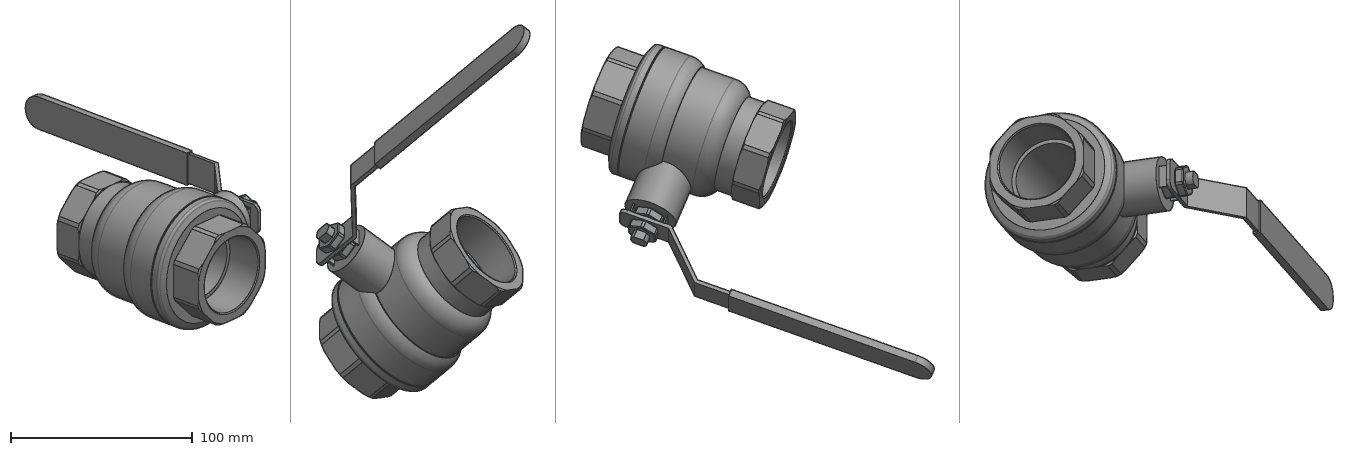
import cadquery as cq
import math


INLET_X = -53.0
OUTLET_X = 52.5
WRENCH_SIDES = 8
WRENCH_FLATS = 54.5
WRENCH_CORNER_R = 29.0
WRENCH_LENGTH = 16.5
END_CHAMFER = 1.2
END_CHAMFER_LENGTH = 0.7
NECK_R = WRENCH_FLATS / 2
BARREL_R = 34.0
FLANGE_R = 37.73
NECK_END_X = -26.5
BARREL_START_X = -16.3
FLANGE_FACE_X = 3.3
FLANGE_START_X = 11.4
FLANGE_ROUND_X = 30.6
FLANGE_CONE_X = 32.3
FLANGE_CONE_R = 36.7
FLANGE_END_X = 34.0
FLANGE_END_R = 33.2
FLANGE_STEP = 0.7
GROOVE_START_X = 26.2
GROOVE_WIDTH = 0.7
GROOVE_DEPTH = 0.2
BORE_R = 19.7
SOCKET_R = 22.0
SOCKET_DEPTH = 21.5
SOCKET_CHAMFER = 0.7
BOSS_R = 15.0
BOSS_TOP = 56.5

STEM_R = 4.9
STEM_FLAT_WIDTH = 8.0
STEM_TOP = 74.3
STEM_SEAT_DEPTH = 9.3
NUT_SIDES = 6
NUT_FLATS = 16.0
NUT_CORNER_R = 8.8
NUT_HEIGHT = 5.0
NUT_CHAMFER = 0.58
STOP_THICKNESS = 1.0
STOP_LENGTH = 20.5
STOP_WIDTH = 12.5

LEVER_THICKNESS = 2.2
LEVER_WIDTH = 17.9
LEVER_END_X = BOSS_R
LEVER_END_ROUND = 4.2
BEND_ANGLE = math.pi / 4
LEVER_BEND_X = -39.7
GRIP_MID_Y = 89.0
GRIP_TIP_X = -179.7
GRIP_END_X = -59.7
GRIP_WIDTH = 19.5
GRIP_THICKNESS = 4.5

STOP_BOTTOM = BOSS_TOP + NUT_HEIGHT
LEVER_BOTTOM = STOP_BOTTOM + STOP_THICKNESS
LEVER_TOP = LEVER_BOTTOM + LEVER_THICKNESS


def at_height(y):
    """Workplane facing +Y at height y, with local x along X and local y along -Z."""
    return cq.Workplane("XZ", origin=(0, y, 0)).transformed(rotate=(180, 0, 0))


def x_cylinder(radius, start_x, end_x):
    return cq.Workplane("YZ", origin=(start_x, 0, 0)).circle(radius).extrude(end_x - start_x)


def make_octagon(start_x, end_x, chamfered_ends):
    """Octagonal wrench section whose corners are turned down and coned at the given ends."""
    length = end_x - start_x
    octagon = (
        cq.Workplane("YZ", origin=(start_x, 0, 0))
        .transformed(rotate=(0, 0, 180 / WRENCH_SIDES))
        .polygon(WRENCH_SIDES, WRENCH_FLATS / math.cos(math.pi / WRENCH_SIDES))
        .extrude(length)
    )
    turned = x_cylinder(WRENCH_CORNER_R, start_x, end_x).faces(chamfered_ends)
    return octagon.intersect(turned.chamfer(END_CHAMFER_LENGTH, END_CHAMFER))


def shoulder(outline, start, end):
    """Step an outline out to start, then round it off with an arc that runs level into end."""
    run = end[0] - start[0]
    rise = end[1] - start[1]
    radius = (run**2 + rise**2) / (2 * rise)
    half_turn = math.atan2(rise, run)
    middle = (end[0] - radius * math.sin(half_turn), end[1] - radius * (1 - math.cos(half_turn)))
    return outline.lineTo(*start).threePointArc(middle, end)


def make_shell():
    """Solid of revolution from the neck through the barrel to the grooved flange."""
    outline = (
        cq.Workplane("XY")
        .moveTo(INLET_X + WRENCH_LENGTH, 0)
        .lineTo(INLET_X + WRENCH_LENGTH, NECK_R)
    )
    outline = shoulder(outline, (NECK_END_X, NECK_R), (BARREL_START_X, BARREL_R))
    outline = outline.lineTo(FLANGE_FACE_X, BARREL_R)
    outline = shoulder(outline, (FLANGE_FACE_X, BARREL_R + FLANGE_STEP), (FLANGE_START_X, FLANGE_R))
    outline = (
        outline.lineTo(GROOVE_START_X, FLANGE_R)
        .line(0, -GROOVE_DEPTH)
        .line(GROOVE_WIDTH, 0)
        .line(0, GROOVE_DEPTH)
        .lineTo(FLANGE_ROUND_X, FLANGE_R)
        .tangentArcPoint((FLANGE_CONE_X, FLANGE_CONE_R), relative=False)
        .lineTo(FLANGE_END_X, FLANGE_END_R)
        .lineTo(FLANGE_END_X, 0)
        .close()
    )
    return outline.revolve(360, (0, 0, 0), (1, 0, 0))


def make_bore():
    """Through bore with a wider, chamfered pipe socket at each end."""
    bore = x_cylinder(BORE_R, INLET_X, OUTLET_X)
    for end_x, inward in ((INLET_X, 1), (OUTLET_X, -1)):
        socket = (
            cq.Workplane("XY")
            .moveTo(end_x, 0)
            .lineTo(end_x, SOCKET_R + SOCKET_CHAMFER)
            .lineTo(end_x + inward * SOCKET_CHAMFER, SOCKET_R)
            .lineTo(end_x + inward * SOCKET_DEPTH, SOCKET_R)
            .lineTo(end_x + inward * SOCKET_DEPTH, 0)
            .close()
            .revolve(360, (0, 0, 0), (1, 0, 0))
        )
        bore = bore.union(socket)
    return bore


def make_housing(stem):
    inlet_octagon = make_octagon(INLET_X, INLET_X + WRENCH_LENGTH, "<X or >X")
    outlet_octagon = make_octagon(FLANGE_END_X, OUTLET_X, ">X")
    boss = at_height(0).circle(BOSS_R).extrude(BOSS_TOP)
    shell = make_shell().union(inlet_octagon).union(outlet_octagon).union(boss)
    return shell.cut(make_bore()).cut(stem)


def make_stem():
    """Round stem with two flats, seated in the boss."""
    bottom = BOSS_TOP - STEM_SEAT_DEPTH
    length = STEM_TOP - bottom
    flats = at_height(bottom).rect(2 * STEM_R, STEM_FLAT_WIDTH).extrude(length)
    return at_height(bottom).circle(STEM_R).extrude(length).intersect(flats)


def make_nut(bottom):
    """Hexagon nut with flats facing +X and -X and turned corners."""
    hexagon = (
        at_height(bottom)
        .transformed(rotate=(0, 0, 180 / NUT_SIDES))
        .polygon(NUT_SIDES, NUT_FLATS / math.cos(math.pi / NUT_SIDES))
        .extrude(NUT_HEIGHT)
    )
    turned = at_height(bottom).circle(NUT_CORNER_R).extrude(NUT_HEIGHT)
    nut = hexagon.intersect(turned).faces("<Y or >Y").chamfer(NUT_CHAMFER)
    return nut.cut(at_height(bottom).circle(STEM_R).extrude(NUT_HEIGHT))


def make_stop_plate(stem):
    """Plate clamped under the lever, with a tab bent down to the boss on either side of the nut."""
    height = LEVER_BOTTOM - BOSS_TOP
    block = at_height(BOSS_TOP).rect(STOP_LENGTH, STOP_WIDTH).extrude(height)
    block = block.edges("|Z and >Y").fillet(STOP_THICKNESS)
    gap_length = STOP_LENGTH - 2 * STOP_THICKNESS
    gap = at_height(BOSS_TOP).rect(gap_length, STOP_WIDTH).extrude(NUT_HEIGHT)
    return block.cut(gap).cut(stem)


def make_grip():
    """Thicker handle end of the lever, with a half-round tip."""
    tip_centre_x = GRIP_TIP_X + GRIP_WIDTH / 2
    bottom = at_height(GRIP_MID_Y - GRIP_THICKNESS / 2)
    tip = bottom.center(tip_centre_x, 0).circle(GRIP_WIDTH / 2).extrude(GRIP_THICKNESS)
    bar = (
        bottom.center((tip_centre_x + GRIP_END_X) / 2, 0)
        .rect(GRIP_END_X - tip_centre_x, GRIP_WIDTH)
        .extrude(GRIP_THICKNESS)
    )
    return bar.union(tip)


def make_lever(stem):
    """Strip with two 45 degree bends, clamped on the stem and carrying the grip."""
    rise = GRIP_MID_Y - LEVER_THICKNESS / 2 - LEVER_BOTTOM
    corner_shift = LEVER_THICKNESS * math.tan(BEND_ANGLE / 2)
    upper_bend = (LEVER_BEND_X - corner_shift / 2, LEVER_BOTTOM + rise)
    lower_bend = (upper_bend[0] + rise / math.tan(BEND_ANGLE), LEVER_BOTTOM)
    strip = (
        cq.Workplane("XY", origin=(0, 0, -LEVER_WIDTH / 2))
        .moveTo(LEVER_END_X, LEVER_BOTTOM)
        .lineTo(*lower_bend)
        .lineTo(*upper_bend)
        .lineTo(GRIP_END_X, upper_bend[1])
        .line(0, LEVER_THICKNESS)
        .lineTo(upper_bend[0] + corner_shift, upper_bend[1] + LEVER_THICKNESS)
        .lineTo(lower_bend[0] + corner_shift, LEVER_TOP)
        .lineTo(LEVER_END_X, LEVER_TOP)
        .close()
        .extrude(LEVER_WIDTH)
    )
    return strip.edges("|Y and >X").fillet(LEVER_END_ROUND).union(make_grip()).cut(stem)


stem = make_stem()
housing = make_housing(stem)
nuts = [make_nut(bottom) for bottom in (BOSS_TOP, LEVER_TOP)]
stop_plate = make_stop_plate(stem)
lever = make_lever(stem)

result = cq.Compound.makeCompound(
    [housing.val(), stem.val(), *[nut.val() for nut in nuts], stop_plate.val(), lever.val()]
)